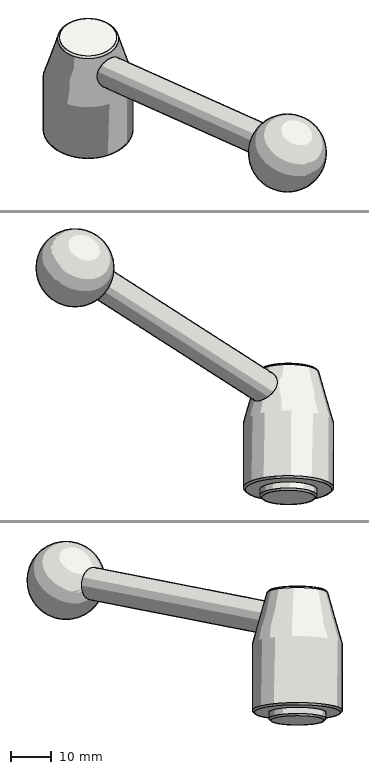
import cadquery as cq
import math

hub_diameter = 22.0
foot_diameter = 14.0
foot_height = 2.0
cone_base_z = 18.9
hub_top_z = 32.1
cone_top_diameter = 14.9
edge_chamfer = 0.5

overall_length = 95.0
overall_height = 53.0
ball_diameter = 19.1
rod_diameter = 8.0
rod_angle = 15.0
rod_rise = 0.5

hub_radius = hub_diameter / 2
ball_radius = ball_diameter / 2
ball_x = overall_length - hub_radius - ball_radius
ball_z = overall_height - ball_radius


def make_hub():
    """Foot, cylinder and cone with chamfered rims."""
    foot_radius = foot_diameter / 2
    cone_top_radius = cone_top_diameter / 2
    return (
        cq.Workplane("XZ")
        .moveTo(0, 0)
        .lineTo(foot_radius - edge_chamfer, 0)
        .lineTo(foot_radius, edge_chamfer)
        .lineTo(foot_radius, foot_height)
        .lineTo(hub_radius - edge_chamfer, foot_height)
        .lineTo(hub_radius, foot_height + edge_chamfer)
        .lineTo(hub_radius, cone_base_z)
        .lineTo(cone_top_radius, hub_top_z - edge_chamfer)
        .lineTo(cone_top_radius - edge_chamfer, hub_top_z)
        .lineTo(0, hub_top_z)
        .close()
        .revolve(360, (0, 0, 0), (0, 1, 0))
    )


def make_rod():
    """Inclined rod from the hub axis into the middle of the ball."""
    slope = math.radians(rod_angle)
    start = cq.Vector(0, 0, ball_z + rod_rise - ball_x * math.tan(slope))
    direction = cq.Vector(math.cos(slope), 0, math.sin(slope))
    length = ball_x / math.cos(slope)
    rod = cq.Solid.makeCylinder(rod_diameter / 2, length, start, direction)
    return cq.Workplane(obj=rod)


ball = cq.Workplane("XY").sphere(ball_radius).translate((ball_x, 0, ball_z))
result = make_hub().union(make_rod()).union(ball)